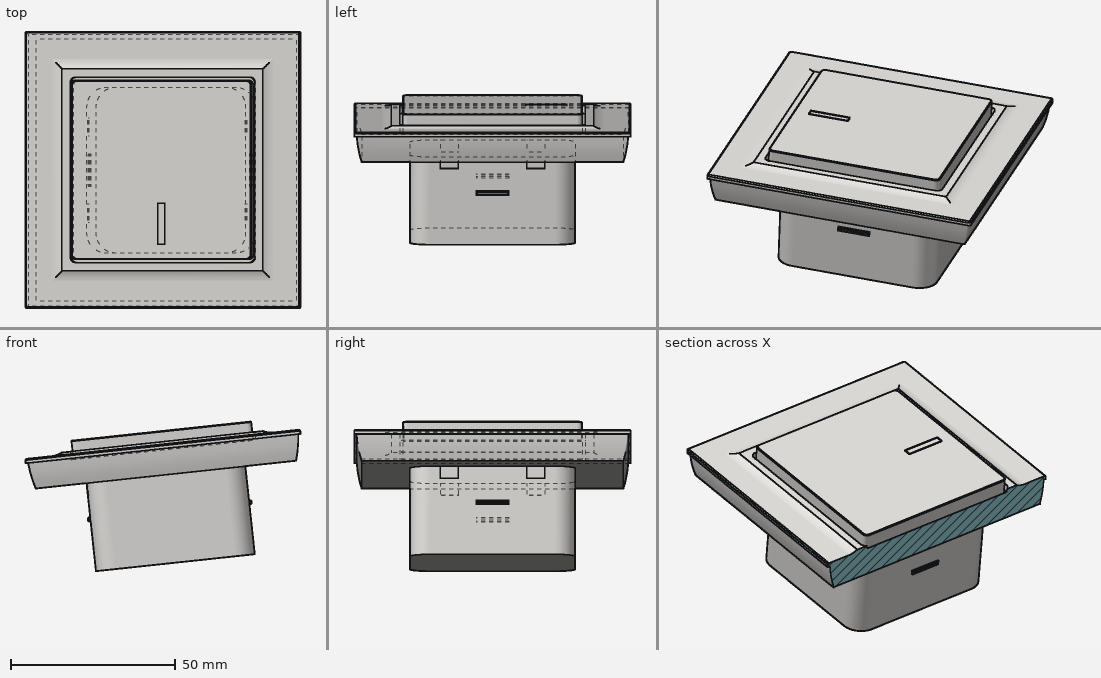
import cadquery as cq
import math

TILT = 6.1

RIM_SIZE = 84.3
RIM_HEIGHT = 1.35
RIM_CHAMFER = 0.4
CORNER_RADIUS = 0.7
SKIRT_CORNER_RADIUS = 0.4
SKIRT_TOP_INSET = 0.8
SKIRT_BOTTOM_INSET = 2.3
SKIRT_TOP_SIZE = RIM_SIZE - 2 * SKIRT_TOP_INSET
SKIRT_BOTTOM_SIZE = RIM_SIZE - 2 * SKIRT_BOTTOM_INSET
SKIRT_HEIGHT = 8.0
SKIRT_BULGE = 0.25

PANEL_BASE_SIZE = 67.5
PANEL_TOP_SIZE = 61.6
PANEL_HEIGHT = 0.8
PANEL_HOLLOW = 0.2

GAP_SIZE = 56.5
GAP_RADIUS = 1.7
GAP_DEPTH = 1.7
ROCKER_X = 55.15
ROCKER_Y = 54.6
ROCKER_RADIUS = 1.4
ROCKER_RISE = 3.3
ROCKER_CHAMFER = 0.25

WINDOW_WIDTH = 2.2
WINDOW_LENGTH = 12.5
WINDOW_DEPTH = 0.25
WINDOW_Y = -16.4

HOUSING_X = 48.75
HOUSING_Y = 50.4
HOUSING_DEPTH = 27.0
HOUSING_RADIUS = 6.0

CATCH_PROJECTION = 0.8
CATCH_LENGTH = 9.95
CATCH_HEIGHT = 1.3
CATCH_CHAMFER = 0.3
CATCH_DROP = 11.05
POCKET_WIDTH = 5.6
POCKET_HEIGHT = 3.6
POCKET_DEPTH = 0.25
POCKET_Y = 13.15

PANEL_TOP = RIM_HEIGHT + PANEL_HEIGHT
ROCKER_TOP = PANEL_TOP + ROCKER_RISE
ROCKER_BASE = RIM_HEIGHT - GAP_DEPTH
SKIRT_BOTTOM = -SKIRT_HEIGHT


def rounded_block(size_x, size_y, radius, bottom, top):
    """Upright block between two heights, with rounded vertical corners."""
    block = cq.Workplane("XY").workplane(offset=bottom).rect(size_x, size_y).extrude(top - bottom)
    return block.edges("|Z").fillet(radius)


def mitred_block(bottom_size, bottom, top_size, top, bulge):
    """Square block whose four curved sides meet in mitres; a negative bulge hollows them."""
    low = bottom_size / 2
    high = top_size / 2
    side_length = math.hypot(high - low, top - bottom)
    middle = (low + high) / 2 + bulge * (top - bottom) / side_length
    middle_z = (bottom + top) / 2 - bulge * (high - low) / side_length
    length = max(bottom_size, top_size)

    def bar(plane):
        profile = (
            cq.Workplane(plane)
            .moveTo(-low, bottom)
            .lineTo(low, bottom)
            .threePointArc((middle, middle_z), (high, top))
            .lineTo(-high, top)
            .threePointArc((-middle, middle_z), (-low, bottom))
            .close()
        )
        return profile.extrude(length, both=True)

    return bar("XZ").intersect(bar("YZ"))


def make_frame():
    rim = rounded_block(RIM_SIZE, RIM_SIZE, CORNER_RADIUS, 0, RIM_HEIGHT)
    rim = rim.faces(">Z").chamfer(RIM_CHAMFER)
    skirt = mitred_block(SKIRT_BOTTOM_SIZE, SKIRT_BOTTOM, SKIRT_TOP_SIZE, 0, SKIRT_BULGE)
    skirt = skirt.edges("not (<Z or >Z)").fillet(SKIRT_CORNER_RADIUS)
    panel = mitred_block(PANEL_BASE_SIZE, RIM_HEIGHT, PANEL_TOP_SIZE, PANEL_TOP, -PANEL_HOLLOW)
    gap = rounded_block(GAP_SIZE, GAP_SIZE, GAP_RADIUS, ROCKER_BASE, PANEL_TOP)
    return rim.union(skirt).union(panel).cut(gap)


def make_rocker():
    rocker = rounded_block(ROCKER_X, ROCKER_Y, ROCKER_RADIUS, ROCKER_BASE, ROCKER_TOP)
    rocker = rocker.faces(">Z").chamfer(ROCKER_CHAMFER)
    window = (
        cq.Workplane("XY", origin=(0, WINDOW_Y, ROCKER_TOP))
        .rect(WINDOW_WIDTH, WINDOW_LENGTH)
        .extrude(-WINDOW_DEPTH)
    )
    return rocker.cut(window)


def make_housing():
    housing_bottom = SKIRT_BOTTOM - HOUSING_DEPTH
    housing = rounded_block(HOUSING_X, HOUSING_Y, HOUSING_RADIUS, housing_bottom, SKIRT_BOTTOM)
    catches = cq.Workplane("XY", origin=(0, 0, SKIRT_BOTTOM - CATCH_DROP)).box(
        HOUSING_X + 2 * CATCH_PROJECTION, CATCH_LENGTH, CATCH_HEIGHT
    )
    catches = catches.faces("<X or >X").chamfer(CATCH_CHAMFER)
    housing = housing.union(catches)
    for side in (-1, 1):
        for pocket_y in (-POCKET_Y, POCKET_Y):
            pocket = cq.Workplane(
                "XY", origin=(side * HOUSING_X / 2, pocket_y, SKIRT_BOTTOM - POCKET_HEIGHT / 2)
            ).box(2 * POCKET_DEPTH, POCKET_WIDTH, POCKET_HEIGHT)
            housing = housing.cut(pocket)
    return housing


switch = make_frame().union(make_rocker()).union(make_housing())
result = switch.rotate((0, 0, 0), (0, 1, 0), -TILT)